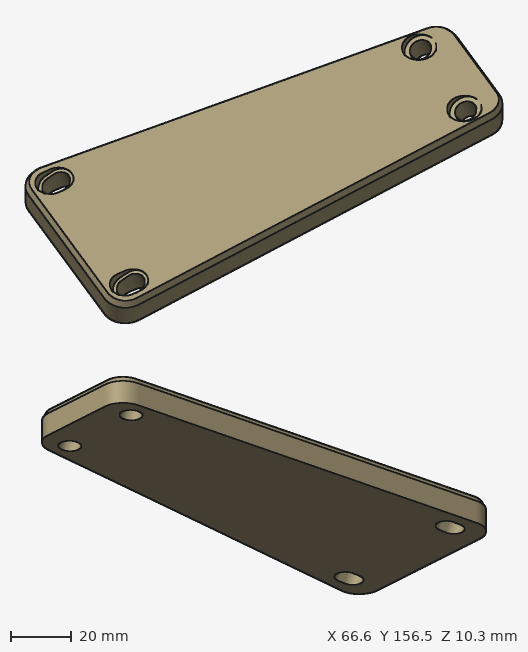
import cadquery as cq
import math

length = 156.5
wide_end_width = 66.6
narrow_end_width = 44.1
thickness = 10.3
corner_radius = 8.0

bevel_height = 2.2
bevel_inset = 1.3

hole_tilt = 18.0
hole_width = 7.4

round_spacing = 30.2
round_y = 64.3
round_recess_diameter = 11.0
round_recess_depth = 1.7

slot_spacing = 49.9
slot_y = -68.7
slot_travel = 2.7
slot_recess_width = 9.9
slot_recess_depth = 2.2

cut_margin = 7.8


def plate():
    """Rounded trapezoid extruded to the full thickness, with a bevelled upper edge."""
    wide_x = wide_end_width / 2 - corner_radius
    narrow_x = narrow_end_width / 2 - corner_radius
    end_y = length / 2
    centre_y = end_y - corner_radius

    taper = math.atan((wide_x - narrow_x) / (2 * centre_y))
    side_x = corner_radius * math.cos(taper)
    side_y = corner_radius * math.sin(taper)

    def corner_middle(centre_x, end, tangent_angle):
        """Point halfway along a right-hand corner arc; end is +1 at +Y and -1 at -Y."""
        middle = (tangent_angle + end * math.pi / 2) / 2
        return (
            centre_x + corner_radius * math.cos(middle),
            end * centre_y + corner_radius * math.sin(middle),
        )

    right_half = (
        cq.Workplane("XY")
        .moveTo(0, -end_y)
        .lineTo(wide_x, -end_y)
        .threePointArc(corner_middle(wide_x, -1, taper), (wide_x + side_x, -centre_y + side_y))
        .lineTo(narrow_x + side_x, centre_y + side_y)
        .threePointArc(corner_middle(narrow_x, 1, taper), (narrow_x, end_y))
        .lineTo(0, end_y)
    )
    body = right_half.mirrorY().extrude(thickness)
    upper_edges = body.faces(">Z").edges().vals()
    return cq.Workplane(body.val().chamfer(bevel_height, bevel_inset, upper_edges))


def pill(width, travel, bottom, top):
    """Upright cutter with round ends along Y; zero travel gives a cylinder."""
    sketch = cq.Workplane("XY").workplane(offset=bottom)
    if travel > 0:
        sketch = sketch.slot2D(width + travel, width, 90)
    else:
        sketch = sketch.circle(width / 2)
    return sketch.extrude(top - bottom)


def recessed_hole(x, y, travel, recess_width, recess_depth):
    """Through hole with a flat recess, leaning about the point (x, y) on the upper face."""
    through = pill(hole_width, travel, -thickness - cut_margin, cut_margin)
    recess = pill(recess_width, travel, -recess_depth, cut_margin)
    cutter = through.union(recess)
    return cutter.rotate((0, 0, 0), (1, 0, 0), hole_tilt).translate((x, y, thickness))


result = plate()
for side in (-1, 1):
    result = result.cut(
        recessed_hole(side * round_spacing / 2, round_y, 0, round_recess_diameter, round_recess_depth)
    )
    result = result.cut(
        recessed_hole(side * slot_spacing / 2, slot_y, slot_travel, slot_recess_width, slot_recess_depth)
    )